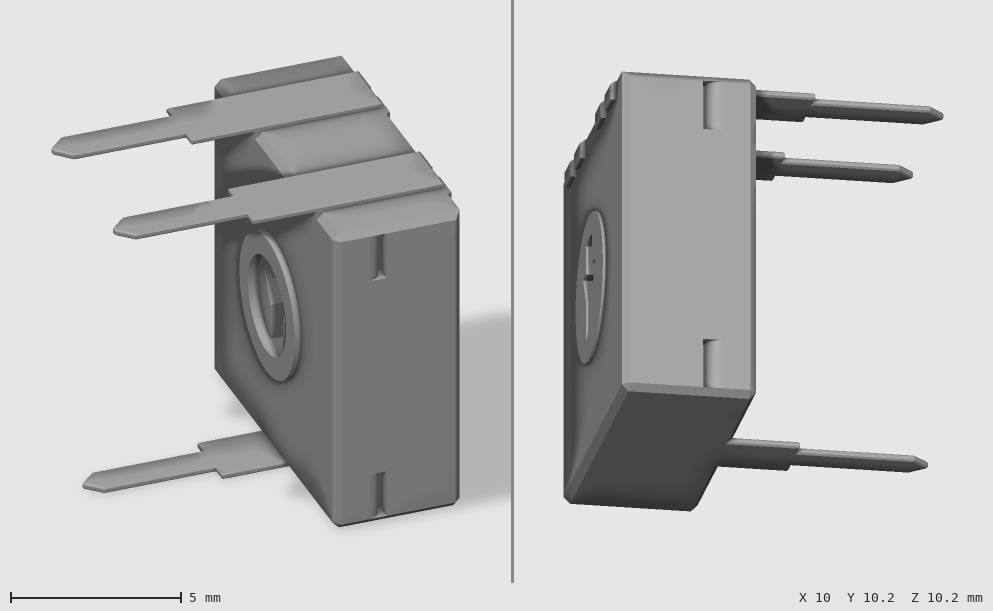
import cadquery as cq

body_side = 10.0
body_depth = 4.0
body_chamfer = 0.2
centre_z = body_side / 2

collar_radius = 2.24
front_collar_height = 0.2
back_collar_height = 0.1

bore_radius = 1.55
recess_depth = 0.31
slot_width = 1.0
arrow_width = 2 * slot_width
arrow_top = 0.58
arrow_bottom = -0.31

lead_thickness = 0.2
lead_bevel = 0.05
lead_width = 1.99
lead_shoulder_y = -2.01
lead_taper_y = -5.51
lead_tip_y = -6.0
outer_lead_offset = 2.5
outer_pin_width = 1.1
outer_tip_width = 0.12
centre_pin_width = 1.0
centre_tip_width = 0.06
centre_lead_root_y = 2 * body_chamfer

tab_width = 0.99
tab_pair_spacing = 1.57
tab_height = 0.51
tab_projection = 0.15
tab_bevel = 0.03

groove_front_y = 1.02
groove_width = 0.6
groove_depth = 0.47
groove_length = 1.51


def box(x_min, x_max, y_min, y_max, z_min, z_max):
    size = (x_max - x_min, y_max - y_min, z_max - z_min)
    return cq.Workplane("XY").box(*size, centered=False).translate((x_min, y_min, z_min))


def cylinder(radius, y_start, y_end):
    """Cylinder along Y on the rotor axis."""
    plane = cq.Workplane("XZ", origin=(0, y_start, centre_z))
    return plane.circle(radius).extrude(y_start - y_end)


def make_body():
    """Block with every edge chamfered except the top edge at the back."""
    half = body_side / 2
    block = box(-half, half, 0, body_depth, 0, body_side)
    top_back_edge = block.faces(">Z").edges(">Y").val()
    chamfered_edges = [edge for edge in block.edges().vals() if not edge.isSame(top_back_edge)]
    return block.newObject(chamfered_edges).chamfer(body_chamfer)


def make_lead(x_centre, z_bottom, root_y, pin_width, tip_width):
    half_outline = [
        (lead_width / 2, root_y),
        (lead_width / 2, lead_shoulder_y),
        (pin_width / 2, lead_shoulder_y),
        (pin_width / 2, lead_taper_y),
        (tip_width / 2, lead_tip_y),
    ]
    mirrored = [(-x, y) for x, y in reversed(half_outline)]
    lead = cq.Workplane("XY").polyline(half_outline + mirrored).close().extrude(lead_thickness)
    lead = lead.faces("<Z or >Z").edges().chamfer(lead_bevel)
    return lead.translate((x_centre, 0, z_bottom))


def make_lead_seat(x_centre):
    """Fills the top front chamfer and the lead's lower bevel where an outer lead meets the body."""
    left = x_centre - lead_width / 2
    bottom = body_side - body_chamfer
    return box(left, left + lead_width, 0, body_depth, bottom, body_side + lead_bevel)


def make_tab(x_centre):
    left = x_centre - tab_width / 2
    back = body_depth + tab_projection
    tab = box(left, left + tab_width, body_depth - tab_projection, back,
              body_side - tab_height, body_side)
    return tab.faces(">Y").edges().chamfer(tab_bevel)


def make_slot():
    """Arrow-shaped slot, limited to the bore circle, running out through the back."""
    back = body_depth + back_collar_height
    half_slot = slot_width / 2
    half_outline = [
        (half_slot, bore_radius),
        (half_slot, arrow_top),
        (arrow_width / 2, arrow_top),
        (half_slot, arrow_bottom),
        (half_slot, -bore_radius),
    ]
    mirrored = [(-x, z) for x, z in reversed(half_outline)]
    plane = cq.Workplane("XZ", origin=(0, 0, centre_z))
    slot = plane.polyline(half_outline + mirrored).close().extrude(-back)
    return slot.intersect(cylinder(bore_radius, 0, back))


def make_groove(z_bottom):
    """Groove in the -X face with a quarter-round flank on its front side."""
    face_x = -body_side / 2
    back_y = groove_front_y + groove_width
    return (
        cq.Workplane("XY", origin=(0, 0, z_bottom))
        .moveTo(face_x, groove_front_y)
        .lineTo(face_x, back_y)
        .lineTo(face_x + groove_depth, back_y)
        .lineTo(face_x + groove_depth, groove_front_y + groove_depth)
        .radiusArc((face_x, groove_front_y), -groove_depth)
        .close()
        .extrude(groove_length)
    )


result = make_body()
result = result.union(cylinder(collar_radius, -front_collar_height, body_depth + back_collar_height))

result = result.cut(cylinder(bore_radius, -front_collar_height, recess_depth - front_collar_height))
result = result.cut(make_slot())

for groove_z in (body_chamfer, body_side - body_chamfer - groove_length):
    groove = make_groove(groove_z)
    result = result.cut(groove).cut(groove.mirror("YZ"))

for lead_x in (-outer_lead_offset, outer_lead_offset):
    result = result.union(make_lead_seat(lead_x))
    result = result.union(make_lead(lead_x, body_side, body_depth, outer_pin_width, outer_tip_width))
    for tab_side in (-1, 1):
        result = result.union(make_tab(lead_x + tab_side * tab_pair_spacing / 2))

result = result.union(make_lead(0, 0, centre_lead_root_y, centre_pin_width, centre_tip_width))